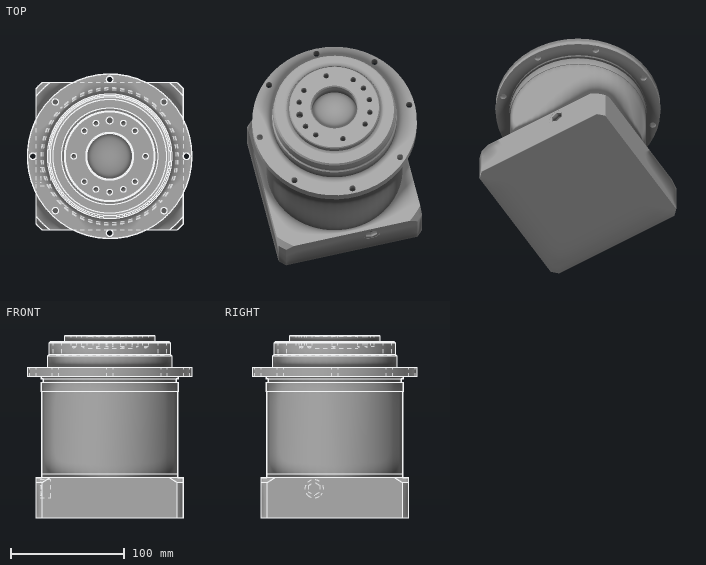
import cadquery as cq
import math

overall_height = 161.0

base_width = 130.0
base_height = 35.7
base_corner_radius = 88.0
base_corner_chamfer = 4.5
boss_top = 38.8

plug_radius = 8.0
plug_length = 12.9
plug_recess = 0.2
plug_y = -18.0
plug_z = 26.0
hex_across_flats = 10.0
hex_depth = 4.3

housing_radius = 60.0
housing_shoulder = 111.5
collar_radius = 60.5
groove_radius = 58.6
groove_bottom = 119.6
groove_top = 122.7
flange_diameter = 145.0
flange_radius = flange_diameter / 2
flange_bottom = 124.6
flange_thickness = 8.2
pilot_radius = 54.9
pilot_top = 144.0
neck_radius = 53.6
neck_top = 155.5
pilot_chamfer_height = 1.1
neck_chamfer_width = 1.3
neck_chamfer_height = 1.5
flange_hole_count = 8
flange_hole_diameter = 5.6
flange_hole_circle_radius = 67.6

seal_outer_radius = 50.0
seal_inner_radius = 42.5
seal_height = 12.0
seal_bottom = neck_top - seal_height

output_radius = 40.0
shoulder_recess = 0.5
shoulder_top = neck_top - shoulder_recess
output_chamfer = 0.8
bore_radius = 20.1
bore_depth = 11.8
bore_chamfer = 1.0
bolt_circle_radius = 31.5
bolt_hole_diameter = 5.0
bolt_hole_depth = 9.7
bolt_hole_angles = [0, 45, 67.5, 112.5, 135, 180, 225, 247.5, 270, 292.5, 315]
drill_point_angle = 118.0
dowel_hole_diameter = 6.1
dowel_hole_depth = 9.7
dowel_hole_angle = 90


def cylinder(radius, bottom, top):
    """Upright cylinder on the gearbox axis."""
    return cq.Workplane("XY").workplane(offset=bottom).circle(radius).extrude(top - bottom)


def make_plug_blank(start_depth, end_depth):
    """Cylinder on the plug axis, between two depths below the -X side of the base."""
    return (
        cq.Workplane("YZ", origin=(start_depth - base_width / 2, plug_y, plug_z))
        .circle(plug_radius)
        .extrude(end_depth - start_depth)
    )


def make_base():
    """Square base with turned corners and a round boss as wide as the housing."""
    block = cq.Workplane("XY").box(base_width, base_width, base_height, centered=(True, True, False))
    turned_blank = cylinder(base_corner_radius, 0, base_height).faces(">Z").chamfer(base_corner_chamfer)
    base = block.intersect(turned_blank)
    boss = cylinder(housing_radius, base_height, boss_top)
    return base.union(boss).cut(make_plug_blank(0, plug_length))


def make_plug():
    """Plug with a hexagon socket, set just below the side of the base."""
    hex_across_corners = hex_across_flats / math.cos(math.pi / 6)
    socket = (
        cq.Workplane("YZ", origin=(plug_recess - base_width / 2, plug_y, plug_z))
        .transformed(rotate=(0, 0, 90))
        .polygon(6, hex_across_corners)
        .extrude(hex_depth)
    )
    return make_plug_blank(plug_recess, plug_length).cut(socket)


def make_housing():
    """Turned housing with a drilled flange and a pocket for the seal and output flange."""
    outline = [
        (0, boss_top),
        (housing_radius, boss_top),
        (housing_radius, housing_shoulder),
        (collar_radius, housing_shoulder),
        (collar_radius, groove_bottom),
        (groove_radius, groove_bottom),
        (groove_radius, groove_top),
        (collar_radius, groove_top),
        (collar_radius, flange_bottom),
        (flange_radius, flange_bottom),
        (flange_radius, flange_bottom + flange_thickness),
        (pilot_radius, flange_bottom + flange_thickness),
        (pilot_radius, pilot_top - pilot_chamfer_height),
        (neck_radius, pilot_top),
        (neck_radius, neck_top - neck_chamfer_height),
        (neck_radius - neck_chamfer_width, neck_top),
        (0, neck_top),
    ]
    housing = cq.Workplane("XZ").polyline(outline).close().revolve(360, (0, 0, 0), (0, 1, 0))
    flange_holes = (
        cq.Workplane("XY")
        .workplane(offset=flange_bottom)
        .polarArray(flange_hole_circle_radius, 0, 360, flange_hole_count)
        .circle(flange_hole_diameter / 2)
        .extrude(flange_thickness)
    )
    shaft_pocket = cylinder(seal_outer_radius, seal_bottom, neck_top)
    return housing.cut(flange_holes).cut(shaft_pocket)


def make_seal():
    """Flat ring between the housing and the shoulder of the output flange."""
    outer = cylinder(seal_outer_radius, seal_bottom, neck_top)
    return outer.cut(cylinder(seal_inner_radius, seal_bottom, neck_top))


def at_bolt_circle(shape, angle):
    """Move a shape from the axis to the bolt circle at an angle in degrees from +X."""
    return shape.translate((bolt_circle_radius, 0, 0)).rotate((0, 0, 0), (0, 0, 1), angle)


def make_bolt_hole():
    """Blind hole with a conical drill point."""
    radius = bolt_hole_diameter / 2
    cone_top = overall_height - bolt_hole_depth
    cone_tip = cone_top - radius / math.tan(math.radians(drill_point_angle / 2))
    return (
        cq.Workplane("XZ")
        .polyline([(0, overall_height), (radius, overall_height), (radius, cone_top), (0, cone_tip)])
        .close()
        .revolve(360, (0, 0, 0), (0, 1, 0))
    )


def make_bore_chamfer():
    """Cone that breaks the upper edge of the bore."""
    return (
        cq.Workplane("XY")
        .workplane(offset=overall_height)
        .circle(bore_radius + bore_chamfer)
        .workplane(offset=-bore_chamfer)
        .circle(bore_radius)
        .loft(ruled=True)
    )


def make_output_flange():
    """Disc on a wider shoulder, with a blind bore, bolt holes and a dowel hole."""
    shoulder = cylinder(seal_inner_radius, seal_bottom, shoulder_top)
    disc = cylinder(output_radius, shoulder_top, overall_height).faces(">Z").chamfer(output_chamfer)
    flange = shoulder.union(disc)
    flange = flange.cut(cylinder(bore_radius, overall_height - bore_depth, overall_height))
    flange = flange.cut(make_bore_chamfer())
    for angle in bolt_hole_angles:
        flange = flange.cut(at_bolt_circle(make_bolt_hole(), angle))
    dowel_hole = cylinder(dowel_hole_diameter / 2, overall_height - dowel_hole_depth, overall_height)
    return flange.cut(at_bolt_circle(dowel_hole, dowel_hole_angle))


base = make_base()
plug = make_plug()
housing = make_housing()
seal = make_seal()
output_flange = make_output_flange()

result = cq.Compound.makeCompound(
    [base.val(), plug.val(), housing.val(), seal.val(), output_flange.val()]
)